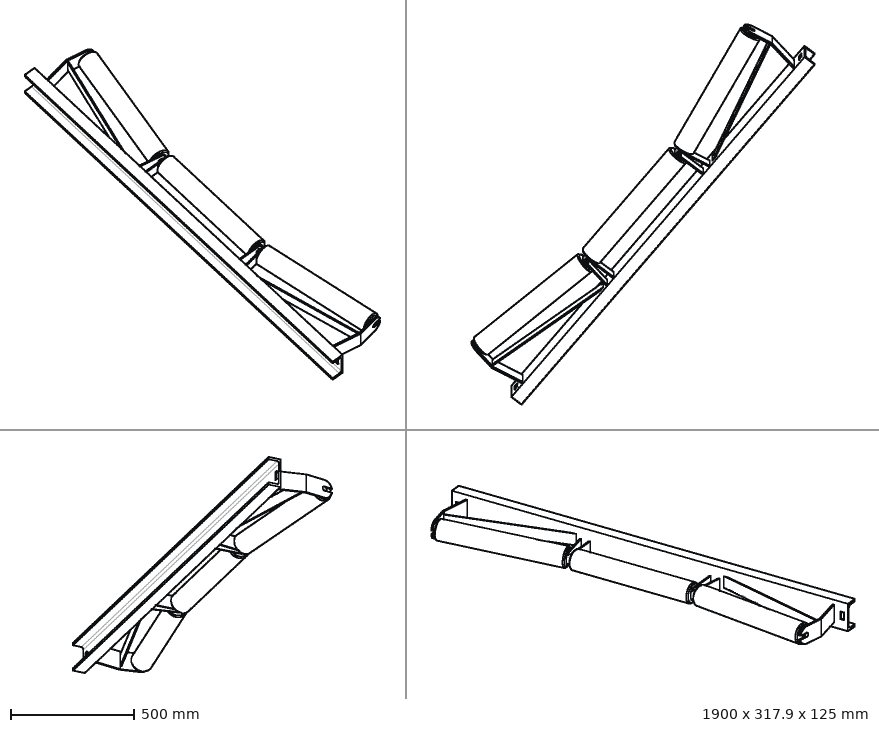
import cadquery as cq
import math

CHANNEL_LENGTH = 1900.0
CHANNEL_HEIGHT = 125.0
CHANNEL_DEPTH = 53.0
WEB_THICKNESS = 8.0
FLANGE_THICKNESS = 11.0
CHANNEL_FILLET = 10.0
MOUNT_SLOT_WIDTH = 17.0
MOUNT_SLOT_HEIGHT = 35.0
MOUNT_SLOT_INSET = 28.0

ROLLER_LENGTH = 570.0
ROLLER_DIAMETER = 91.0
ROLLER_CHAMFER = 5.0
SHAFT_DIAMETER = 19.0
TROUGH_ANGLE = 10.0
FORWARD_TILT = 1.8
CENTRE_AXIS_Y = 122.0
CENTRE_AXIS_Z = -17.0
WING_CENTRE_X = 597.0

OUTER_PLATE = 8.0
OUTER_GAP = 8.0
OUTER_BRACKET_HEIGHT = 80.0
FOLD_Y = 135.0
INNER_PLATE = 5.0
INNER_GAP = 2.0
INNER_BRACKET_HEIGHT = 57.0
INNER_BRACKET_CORNER = 15.0
BRIDGE_TOP_Y = 142.0
BRACE_THICKNESS = 5.0
BRACE_HEIGHT = 53.0
BRACE_FOOT_X = 376.0

TROUGH = math.radians(TROUGH_ANGLE)
TILT = math.radians(FORWARD_TILT)
LEAN = math.tan(TROUGH)
HALF_LENGTH = ROLLER_LENGTH / 2
WING_CENTRE_Y = CENTRE_AXIS_Y + HALF_LENGTH * math.sin(TROUGH)
WING_CENTRE_Z = CENTRE_AXIS_Z + HALF_LENGTH * math.sin(TILT)
WING_END_Y = WING_CENTRE_Y + HALF_LENGTH * math.sin(TROUGH)
WING_END_Z = WING_CENTRE_Z + HALF_LENGTH * math.sin(TILT)
FOLD_X = WING_CENTRE_X + (HALF_LENGTH + OUTER_GAP) / math.cos(TROUGH) + (WING_CENTRE_Y - FOLD_Y) * LEAN


def place_in_centre(body):
    return body.translate((0, CENTRE_AXIS_Y, CENTRE_AXIS_Z))


def place_on_wing(body):
    """Tilt a body that lies along X and move it to the right wing."""
    tilted = body.rotate((0, 0, 0), (0, 1, 0), -FORWARD_TILT)
    raised = tilted.rotate((0, 0, 0), (0, 0, 1), TROUGH_ANGLE)
    return raised.translate((WING_CENTRE_X, WING_CENTRE_Y, WING_CENTRE_Z))


def right_and_left(body):
    return [body.val(), body.mirror("YZ").val()]


def plate_from_outline(points, height, centre_z):
    """Extrude an outline in X and Y by a height along Z."""
    bottom = cq.Workplane("XY").workplane(offset=centre_z - height / 2)
    return bottom.polyline(points).close().extrude(height)


def make_channel():
    inner_height = CHANNEL_HEIGHT - 2 * FLANGE_THICKNESS
    inner_depth = CHANNEL_DEPTH - WEB_THICKNESS
    beam = cq.Workplane("XY").box(CHANNEL_LENGTH, CHANNEL_DEPTH, CHANNEL_HEIGHT)
    trough = cq.Workplane("XY").box(CHANNEL_LENGTH, inner_depth, inner_height)
    trough = trough.edges("|X and >Y").fillet(CHANNEL_FILLET)
    beam = beam.cut(trough.translate((0, -WEB_THICKNESS / 2, 0)))
    slot_x = CHANNEL_LENGTH / 2 - MOUNT_SLOT_INSET
    for x in (-slot_x, slot_x):
        slot = cq.Workplane("XY").box(MOUNT_SLOT_WIDTH, CHANNEL_DEPTH, MOUNT_SLOT_HEIGHT)
        beam = beam.cut(slot.translate((x, 0, 0)))
    return beam.translate((0, -CHANNEL_DEPTH / 2, 0))


def make_cylinder(diameter, start, end):
    """Cylinder on the X axis from start to end."""
    return cq.Workplane("YZ").workplane(offset=start).circle(diameter / 2).extrude(end - start)


def make_roller(left_reach, right_reach):
    """Chamfered barrel on a shaft that reaches past it by a given length at each end."""
    barrel = make_cylinder(ROLLER_DIAMETER, -HALF_LENGTH, HALF_LENGTH)
    barrel = barrel.faces("<X or >X").chamfer(ROLLER_CHAMFER)
    shaft = make_cylinder(SHAFT_DIAMETER, -HALF_LENGTH - left_reach, HALF_LENGTH + right_reach)
    return barrel.union(shaft)


def make_outer_bracket():
    """Folded plate with a round end, where an open slot holds the wing shaft."""
    plate_x = OUTER_PLATE / math.cos(TROUGH)
    top_y = WING_END_Y + ROLLER_DIAMETER
    foot_x = FOLD_X - FOLD_Y * LEAN
    top_x = FOLD_X - (top_y - FOLD_Y) * LEAN
    outline = [
        (foot_x, 0),
        (FOLD_X, FOLD_Y),
        (top_x, top_y),
        (top_x + plate_x, top_y),
        (FOLD_X + plate_x, FOLD_Y),
        (foot_x + plate_x, 0),
    ]
    plate = plate_from_outline(outline, OUTER_BRACKET_HEIGHT, WING_END_Z)

    radius = OUTER_BRACKET_HEIGHT / 2
    round_ended = (
        cq.Workplane("YZ")
        .moveTo(0, WING_END_Z - radius)
        .lineTo(WING_END_Y, WING_END_Z - radius)
        .threePointArc((WING_END_Y + radius, WING_END_Z), (WING_END_Y, WING_END_Z + radius))
        .lineTo(0, WING_END_Z + radius)
        .close()
        .extrude(CHANNEL_LENGTH / 2)
    )

    slot_end = HALF_LENGTH + ROLLER_DIAMETER
    slot = cq.Workplane("XY").box(slot_end, ROLLER_DIAMETER, SHAFT_DIAMETER, centered=(False, False, True))
    slot = slot.union(make_cylinder(SHAFT_DIAMETER, 0, slot_end))
    return plate.intersect(round_ended).cut(place_on_wing(slot))


def make_inner_bracket():
    """Upright plate and leaning plate joined by a bridge, with a hole for each shaft."""
    plate_x = INNER_PLATE / math.cos(TROUGH)
    upright_x = HALF_LENGTH + INNER_GAP
    axis_foot_x = WING_CENTRE_X + WING_CENTRE_Y * LEAN
    foot_x = axis_foot_x - (HALF_LENGTH + INNER_GAP) / math.cos(TROUGH)
    under_y = BRIDGE_TOP_Y - INNER_PLATE
    outline = [
        (upright_x, 0),
        (upright_x, BRIDGE_TOP_Y),
        (foot_x - BRIDGE_TOP_Y * LEAN, BRIDGE_TOP_Y),
        (foot_x, 0),
        (foot_x - plate_x, 0),
        (foot_x - plate_x - under_y * LEAN, under_y),
        (upright_x + INNER_PLATE, under_y),
        (upright_x + INNER_PLATE, 0),
    ]
    bracket = plate_from_outline(outline, INNER_BRACKET_HEIGHT, CENTRE_AXIS_Z)

    rounded = cq.Workplane("XY").box(CHANNEL_LENGTH, BRIDGE_TOP_Y, INNER_BRACKET_HEIGHT)
    rounded = rounded.edges("|X and >Y").fillet(INNER_BRACKET_CORNER)
    bracket = bracket.intersect(rounded.translate((0, BRIDGE_TOP_Y / 2, CENTRE_AXIS_Z)))

    centre_hole = make_cylinder(SHAFT_DIAMETER, 0, HALF_LENGTH + INNER_GAP + INNER_PLATE)
    wing_hole = make_cylinder(SHAFT_DIAMETER, -HALF_LENGTH - INNER_GAP - INNER_PLATE, 0)
    return bracket.cut(place_in_centre(centre_hole)).cut(place_on_wing(wing_hole))


def make_brace():
    """Sloping plate from the channel web to the fold of the outer bracket."""
    slope = math.atan2(FOLD_Y, FOLD_X - BRACE_FOOT_X)
    rise = BRACE_THICKNESS / math.cos(slope)
    outline = [
        (BRACE_FOOT_X, 0),
        (FOLD_X, FOLD_Y),
        (FOLD_X - rise * LEAN, FOLD_Y + rise),
        (BRACE_FOOT_X - BRACE_THICKNESS / math.sin(slope), 0),
    ]
    return plate_from_outline(outline, BRACE_HEIGHT, WING_END_Z)


inner_reach = INNER_GAP + INNER_PLATE
outer_reach = OUTER_GAP + OUTER_PLATE

channel = make_channel()
centre_roller = place_in_centre(make_roller(inner_reach, inner_reach))
wing_rollers = right_and_left(place_on_wing(make_roller(inner_reach, outer_reach)))
outer_brackets = right_and_left(make_outer_bracket())
inner_brackets = right_and_left(make_inner_bracket())
braces = right_and_left(make_brace())

result = cq.Compound.makeCompound(
    [channel.val(), centre_roller.val(), *wing_rollers, *outer_brackets, *inner_brackets, *braces]
)